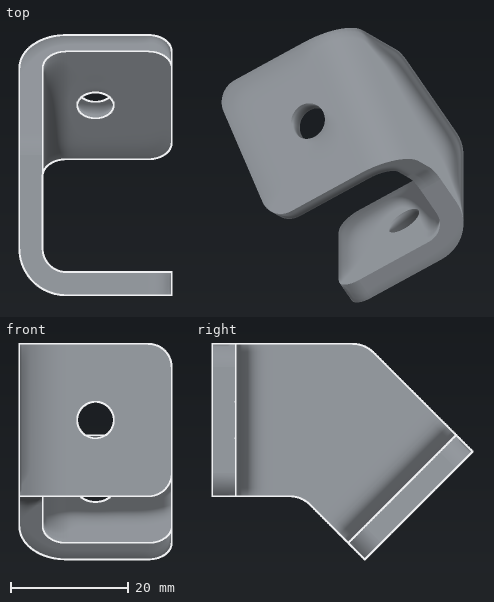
import cadquery as cq
import math

thickness = 4.0
flange_reach = 26.0
flange_width = 26.0
outer_edge_length = 26.0
turn_angle = 45.0
inner_bend_radius = 4.0
outer_bend_radius = inner_bend_radius + thickness
flange_corner_radius = 4.0
web_corner_radius = 5.0
hole_diameter = 6.2
hole_x = flange_reach / 2
hole_z = flange_width / 2

half_turn = math.radians(turn_angle / 2)
inner_edge_length = outer_edge_length - flange_width * math.tan(half_turn)
mirror_normal = cq.Vector(0, math.cos(half_turn), -math.sin(half_turn))
mirror_point = (0, outer_edge_length, flange_width)


def mirror_arm(body):
    """Reflect the upright arm onto the tilted arm."""
    return body.mirror(mirror_normal, mirror_point)


def make_flange():
    """Upright flange at Y = 0 with its bend, rounded free corners and hole."""
    flange = (
        cq.Workplane("XY")
        .moveTo(flange_reach, 0)
        .lineTo(outer_bend_radius, 0)
        .radiusArc((0, outer_bend_radius), outer_bend_radius)
        .lineTo(thickness, outer_bend_radius)
        .radiusArc((outer_bend_radius, thickness), -inner_bend_radius)
        .lineTo(flange_reach, thickness)
        .close()
        .extrude(flange_width)
    )
    flange = flange.faces(">X").edges("|Y").fillet(flange_corner_radius)
    hole = (
        cq.Workplane("XZ")
        .center(hole_x, hole_z)
        .circle(hole_diameter / 2)
        .extrude(-thickness)
    )
    return flange.cut(hole)


def make_arm():
    """Half of the web, from the bend of the upright flange to the symmetry line."""
    return (
        cq.Workplane("YZ")
        .moveTo(outer_bend_radius, 0)
        .lineTo(inner_edge_length, 0)
        .lineTo(outer_edge_length, flange_width)
        .lineTo(outer_bend_radius, flange_width)
        .close()
        .extrude(thickness)
    )


def make_web():
    """Flat web with its outer and inner corners rounded."""
    arm = make_arm()
    web = arm.union(mirror_arm(arm)).clean()
    outer_corner = cq.selectors.NearestToPointSelector((thickness / 2, outer_edge_length, flange_width))
    inner_corner = cq.selectors.NearestToPointSelector((thickness / 2, inner_edge_length, 0))
    web = web.edges("|X").edges(outer_corner).fillet(web_corner_radius)
    return web.edges("|X").edges(inner_corner).fillet(web_corner_radius)


upright_flange = make_flange()
tilted_flange = mirror_arm(upright_flange)
result = make_web().union(upright_flange).union(tilted_flange).clean()